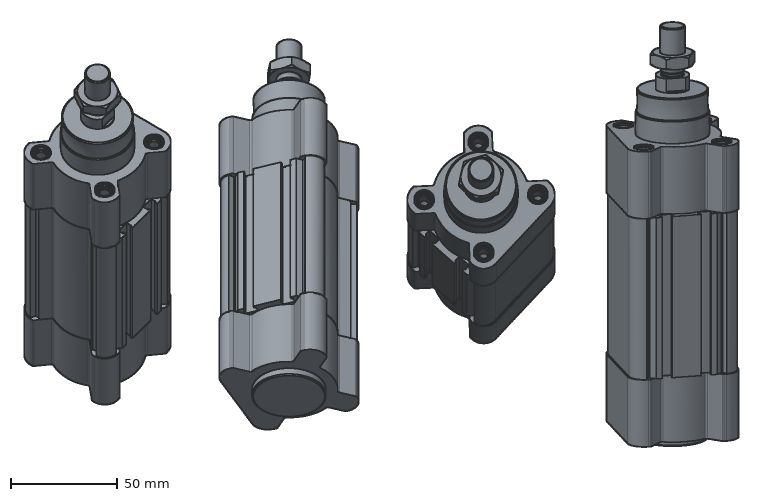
import cadquery as cq
import math

total_height = 202.0
cap_size = 54.0
cap_length = 33.0
tube_length = 79.1
rear_collar_height = 3.8
rear_cap_top = rear_collar_height + cap_length
front_cap_bottom = rear_cap_top + tube_length
front_cap_top = front_cap_bottom + cap_length

cap_barrel_radius = 23.0
tube_barrel_radius = 22.8
screw_spacing = 38.0
cap_arm_width = 13.3
tube_arm_width = 13.1
corner_fillet = 1.0

tube_size = 52.7
slot_centre = 9.5
slot_mouth_width = 4.8
slot_inner_width = 6.3
slot_lip = 1.5
slot_depth = 4.0
groove_depth = 2.5
groove_outer_edge = 19.5
groove_floor_outer = 18.2
groove_floor_inner = 17.4
side_groove_inner_edge = 15.0
front_groove_inner_edge = 15.7

collar_diameter = 35.0
collar_chamfer = 0.6
front_collar_height = 11.3
nose_diameter = 34.0
nose_height = 10.7
nose_waist = 0.3
nose_top = front_cap_top + front_collar_height + nose_height

screw_recess_diameter = 9.5
screw_recess_depth = 2.0
screw_head_diameter = 9.0
screw_head_sink = 0.5
screw_head_chamfer = 0.6
screw_countersink_diameter = 7.3
screw_thread_diameter = 6.0
screw_thread_depth = 2.0
screw_drill_diameter = 4.8
screw_drill_depth = 12.1
drill_point_half_angle = 59

rod_diameter = 16.0
rod_flats = 13.0
rod_flats_gap = 0.6
rod_flats_bottom = nose_top + rod_flats_gap
rod_shoulder = 177.7
thread_diameter = 12.0
thread_bottom = 182.3
thread_tip_diameter = 10.7
thread_chamfer = (thread_diameter - thread_tip_diameter) / 2
neck_top = 179.9
neck_end_diameter = 11.1
neck_diameter = 10.3
neck_taper = 0.6

nut_across_flats = 19.0
nut_height = 6.0
nut_bottom = 182.7
nut_chamfer_angle = 30


FRONT = 0
RIGHT = 90
BACK = 180
LEFT = -90


def prism(size, bottom, length):
    """Square block centred on the axis."""
    return cq.Workplane("XY").workplane(offset=bottom).rect(size, size).extrude(length)


def body_section(size, barrel_radius, arm_width, bottom, length):
    """Rounded square outline, and the round barrel with its diagonal corner arms."""
    corner_radius = (size - screw_spacing) / 2
    outline = prism(size, bottom, length).edges("|Z").fillet(corner_radius)
    base = cq.Workplane("XY").workplane(offset=bottom)
    core = base.circle(barrel_radius).extrude(length)
    for angle in (45, -45):
        arm = base.transformed(rotate=(0, 0, angle)).rect(2 * size, arm_width).extrude(length)
        core = core.union(arm)
    return outline, core


def arm_edges(half_size, barrel_radius, arm_width):
    """Front-side (x, -y) of the edges where an arm meets the barrel and where it meets the outer face."""
    offset = arm_width / math.sqrt(2)
    root_x = (math.sqrt(2 * barrel_radius**2 - offset**2) - offset) / 2
    return (root_x, root_x + offset), (half_size - offset, half_size)


def edges_at(points, sides):
    """Selector for the vertical edges at the points and their mirror images, turned onto the sides."""
    reach = 0.1
    boxes = []
    for across, out in points:
        for mirror in (-1, 1):
            for side in sides:
                turn = math.radians(side)
                x = mirror * across * math.cos(turn) + out * math.sin(turn)
                y = mirror * across * math.sin(turn) - out * math.cos(turn)
                low = (x - reach, y - reach, 0)
                high = (x + reach, y + reach, total_height)
                boxes.append(cq.selectors.BoxSelector(low, high))
    return sum(boxes[1:], boxes[0])


def side_fill(size, side, bottom, length):
    """Wedge that fills one side, between the axis and two corners."""
    half = size / 2
    wedge = cq.Workplane("XY").workplane(offset=bottom).polyline([(0, 0), (-half, -half), (half, -half)])
    return wedge.close().extrude(length).rotate((0, 0, 0), (0, 0, 1), side)


def cap(bottom):
    """End cap, waisted on the front and both sides and flat at the back."""
    outline, core = body_section(cap_size, cap_barrel_radius, cap_arm_width, bottom, cap_length)
    core = core.union(side_fill(cap_size, BACK, bottom, cap_length))
    body = outline.intersect(core)
    points = arm_edges(cap_size / 2, cap_barrel_radius, cap_arm_width)
    return body.edges("|Z").edges(edges_at(points, (FRONT, RIGHT, LEFT))).fillet(corner_fillet)


def side_slots():
    """Two T-shaped sensor slots on the +X face and two on the -X face."""
    face = tube_size / 2
    base = cq.Workplane("XY").workplane(offset=rear_cap_top)
    inner_depth = slot_depth - slot_lip
    cutter = None
    for x_sign in (-1, 1):
        for y_sign in (-1, 1):
            y = y_sign * slot_centre
            mouth = base.center(x_sign * (face - slot_depth / 2), y).rect(slot_depth, slot_mouth_width)
            mouth = mouth.extrude(tube_length)
            inner_x = x_sign * (face - slot_lip - inner_depth / 2)
            inner = base.center(inner_x, y).rect(inner_depth, slot_inner_width).extrude(tube_length)
            slot = mouth.union(inner)
            cutter = slot if cutter is None else cutter.union(slot)
    return cutter


def groove(inner_edge, floor_inner):
    """Groove along the inner side of one corner, cut into the front face on the +X half."""
    face = -tube_size / 2
    floor = face + groove_depth
    outline = [
        (inner_edge, face),
        (floor_inner, floor),
        (groove_floor_outer, floor),
        (groove_outer_edge, face),
    ]
    return cq.Workplane("XY").workplane(offset=rear_cap_top).polyline(outline).close().extrude(tube_length)


def tube():
    """Profile tube, waisted on the front only, with slots and grooves along its sides."""
    outline, core = body_section(tube_size, tube_barrel_radius, tube_arm_width, rear_cap_top, tube_length)
    for side in (RIGHT, BACK, LEFT):
        core = core.union(side_fill(tube_size, side, rear_cap_top, tube_length))
    body = outline.intersect(core)
    barrel_root = arm_edges(tube_size / 2, tube_barrel_radius, tube_arm_width)[:1]
    body = body.edges("|Z").edges(edges_at(barrel_root, (FRONT,))).fillet(corner_fillet)
    body = body.cut(side_slots())
    front_groove = groove(front_groove_inner_edge, front_groove_inner_edge)
    side_groove = groove(side_groove_inner_edge, groove_floor_inner)
    for cutter, side in ((front_groove, FRONT), (side_groove, RIGHT), (side_groove, LEFT)):
        for copy in (cutter, cutter.mirror("YZ")):
            body = body.cut(copy.rotate((0, 0, 0), (0, 0, 1), side))
    return body


def collars():
    """Chamfered rear collar, and front collar with its waisted nose."""
    rear = cq.Workplane("XY").circle(collar_diameter / 2).extrude(rear_collar_height)
    rear = rear.faces("<Z").chamfer(collar_chamfer)
    radius = collar_diameter / 2
    nose_radius = nose_diameter / 2
    collar_top = front_cap_top + front_collar_height
    nose_edge = nose_top - collar_chamfer
    front = (
        cq.Workplane("XZ")
        .moveTo(0, front_cap_top)
        .lineTo(radius, front_cap_top)
        .lineTo(radius, collar_top - collar_chamfer)
        .lineTo(nose_radius, collar_top)
        .threePointArc((nose_radius - nose_waist, (collar_top + nose_edge) / 2), (nose_radius, nose_edge))
        .lineTo(nose_radius - collar_chamfer, nose_top)
        .lineTo(0, nose_top)
        .close()
        .revolve(360, (0, 0, 0), (0, 1, 0))
    )
    return rear, front


def screw_hole():
    """Recess around a chamfered screw head, with the stepped hole in the middle of the head."""
    recess = screw_recess_diameter / 2
    head = screw_head_diameter / 2
    countersink = screw_countersink_diameter / 2
    thread = screw_thread_diameter / 2
    drill = screw_drill_diameter / 2
    countersink_bottom = -screw_head_sink - (countersink - thread)
    drill_start = -screw_thread_depth - (thread - drill)
    point_depth = screw_drill_depth + drill / math.tan(math.radians(drill_point_half_angle))
    outline = [
        (0, 0),
        (recess, 0),
        (recess, -screw_recess_depth),
        (head, -screw_recess_depth),
        (head, -screw_head_sink - screw_head_chamfer),
        (head - screw_head_chamfer, -screw_head_sink),
        (countersink, -screw_head_sink),
        (thread, countersink_bottom),
        (thread, -screw_thread_depth),
        (drill, drill_start),
        (drill, -screw_drill_depth),
        (0, -point_depth),
    ]
    hole = cq.Workplane("XZ").polyline(outline).close().revolve(360, (0, 0, 0), (0, 1, 0))
    return hole.translate((0, 0, front_cap_top))


def make_housing():
    """Both caps, the tube, the collars and the screw heads as one body with a blind bore for the rod."""
    body = tube().union(cap(rear_collar_height)).union(cap(front_cap_bottom))
    for collar in collars():
        body = body.union(collar)
    hole = screw_hole()
    for x in (-screw_spacing / 2, screw_spacing / 2):
        for y in (-screw_spacing / 2, screw_spacing / 2):
            body = body.cut(hole.translate((x, y, 0)))
    bore_bottom = cq.Workplane("XY").workplane(offset=front_cap_bottom)
    rod_bore = bore_bottom.circle(rod_diameter / 2).extrude(nose_top - front_cap_bottom)
    return body.cut(rod_bore)


def make_rod():
    """Rod with a threaded end, an undercut neck and two wrench flats facing -X and +X."""
    rod = rod_diameter / 2
    thread = thread_diameter / 2
    neck = neck_diameter / 2
    neck_end = neck_end_diameter / 2
    body = (
        cq.Workplane("XZ")
        .moveTo(0, front_cap_bottom)
        .lineTo(rod, front_cap_bottom)
        .lineTo(rod, rod_shoulder)
        .lineTo(neck_end, rod_shoulder)
        .lineTo(neck, rod_shoulder + neck_taper)
        .lineTo(neck, neck_top - neck_taper)
        .lineTo(neck_end, neck_top)
        .lineTo(thread, thread_bottom)
        .lineTo(thread, total_height - thread_chamfer)
        .lineTo(thread - thread_chamfer, total_height)
        .lineTo(0, total_height)
        .close()
        .revolve(360, (0, 0, 0), (0, 1, 0))
    )
    flats_height = rod_shoulder - rod_flats_bottom
    base = cq.Workplane("XY").workplane(offset=rod_flats_bottom)
    for side in (-1, 1):
        cutter_x = side * (rod_flats + rod_diameter) / 2
        cutter = base.center(cutter_x, 0).rect(rod_diameter, 2 * rod_diameter)
        body = body.cut(cutter.extrude(flats_height))
    return body


def make_nut():
    """Hexagon nut with corners towards -Y and +Y, chamfered on both faces."""
    corner_diameter = nut_across_flats / math.cos(math.pi / 6)
    base = cq.Workplane("XY").workplane(offset=nut_bottom)
    hexagon = base.polygon(6, corner_diameter).extrude(nut_height).rotate((0, 0, 0), (0, 0, 1), 90)
    corner = corner_diameter / 2
    flat = nut_across_flats / 2
    drop = (corner - flat) * math.tan(math.radians(nut_chamfer_angle))
    nut_top = nut_bottom + nut_height
    outline = [
        (0, nut_bottom),
        (flat, nut_bottom),
        (corner, nut_bottom + drop),
        (corner, nut_top - drop),
        (flat, nut_top),
        (0, nut_top),
    ]
    envelope = cq.Workplane("XZ").polyline(outline).close().revolve(360, (0, 0, 0), (0, 1, 0))
    bore = base.circle(thread_diameter / 2).extrude(nut_height)
    return hexagon.intersect(envelope).cut(bore)


housing = make_housing()
piston_rod = make_rod()
nut = make_nut()

result = cq.Compound.makeCompound([housing.val(), piston_rod.val(), nut.val()])